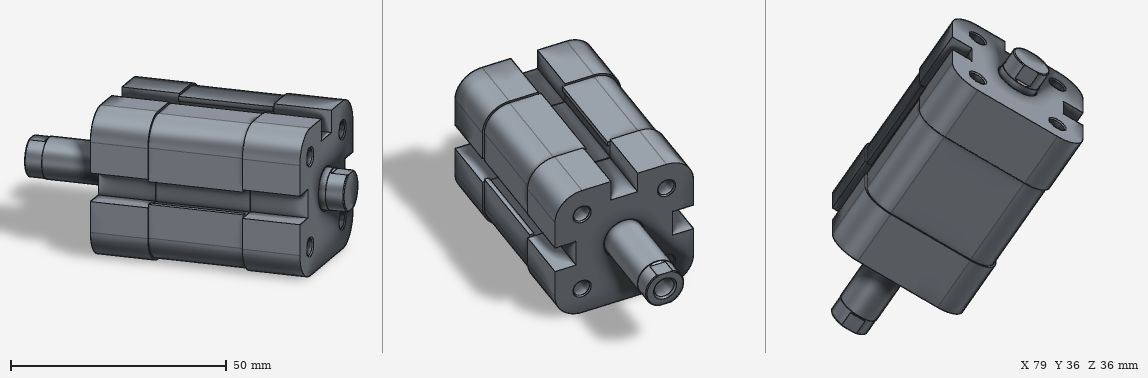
import cadquery as cq
import math


rod_length = 79.0
rear_face_x = -18.4
cap_length = 14.2
barrel_length = 23.4
barrel_start_x = rear_face_x + cap_length
barrel_end_x = barrel_start_x + barrel_length

cap_side = 36.0
cap_corner_radius = 7.0
barrel_inset = 0.51
barrel_side = cap_side - 2 * barrel_inset
barrel_corner_radius = cap_corner_radius - barrel_inset

slot_width = 6.95
cap_slot_floor = 12.6
barrel_slot_floor = 12.8
lip_width = 0.7
lip_height = 1.2
slot_angles = (0, 90, -90)

screw_offset = 11.0
screw_spacing = 2 * screw_offset
screw_hole_diameter = 4.1
screw_hole_chamfer = 0.3

rod_diameter = 10.1
rod_mouth_chamfer = 0.3
neck_diameter = 9.9
rear_neck_length = 4.35
front_neck_length = 4.5
neck_end_chamfer = 0.2
flats_width = 9.0
runout_length = 0.5
runout_rise = 0.355

tap_diameter = 5.05
tap_depth = 11.85
tap_chamfer = 0.5
tap_tip_angle = 118.0


def rounded_bar(side, corner_radius, start_x, length):
    """Square bar along X with rounded long edges."""
    return (
        cq.Workplane("YZ", origin=(start_x, 0, 0))
        .rect(side, side)
        .extrude(length)
        .edges("|X")
        .fillet(corner_radius)
    )


def slot_cutter(width, low, high, start_x, length):
    """Box along X that spans the heights low to high above the axis, on the +Z side."""
    return (
        cq.Workplane("YZ", origin=(start_x, 0, (low + high) / 2))
        .rect(width, high - low)
        .extrude(length)
    )


def cut_on_slot_sides(body, cutter):
    """Cut one slot into each of the three slotted sides."""
    for angle in slot_angles:
        body = body.cut(cutter.rotate((0, 0, 0), (1, 0, 0), angle))
    return body


def cut_bores(body, start_x, length):
    """Cut the rod bore and the four screw holes straight through."""
    section = cq.Workplane("YZ", origin=(start_x, 0, 0))
    rod_bore = section.circle(rod_diameter / 2).extrude(length)
    screw_holes = (
        section.rect(screw_spacing, screw_spacing, forConstruction=True)
        .vertices()
        .circle(screw_hole_diameter / 2)
        .extrude(length)
    )
    return body.cut(rod_bore).cut(screw_holes)


def countersink(x, y, z, hole_diameter, chamfer):
    """45 degree cone that opens a hole along X towards a face on its -X side."""
    return cq.Workplane(
        cq.Solid.makeCone(
            hole_diameter / 2 + chamfer,
            hole_diameter / 2,
            chamfer,
            cq.Vector(x, y, z),
            cq.Vector(1, 0, 0),
        )
    )


def make_rear_cap():
    """Cap with its outer face on the -X side."""
    cap = rounded_bar(cap_side, cap_corner_radius, rear_face_x, cap_length)
    slot = slot_cutter(slot_width, cap_slot_floor, cap_side / 2, rear_face_x, cap_length)
    cap = cut_on_slot_sides(cap, slot)
    cap = cut_bores(cap, rear_face_x, cap_length)
    cap = cap.cut(countersink(rear_face_x, 0, 0, rod_diameter, rod_mouth_chamfer))
    for y in (-screw_offset, screw_offset):
        for z in (-screw_offset, screw_offset):
            cap = cap.cut(countersink(rear_face_x, y, z, screw_hole_diameter, screw_hole_chamfer))
    return cap


def make_end_caps():
    """The rear cap and its mirror image on the +X end of the barrel."""
    middle_x = (barrel_start_x + barrel_end_x) / 2
    rear_cap = make_rear_cap()
    front_cap = rear_cap.mirror("YZ", (middle_x, 0, 0))
    return [rear_cap, front_cap]


def make_barrel():
    """Profiled tube between the caps, with lipped slots."""
    barrel = rounded_bar(barrel_side, barrel_corner_radius, barrel_start_x, barrel_length)
    lip_bottom = barrel_side / 2 - lip_height
    channel = slot_cutter(slot_width, barrel_slot_floor, lip_bottom, barrel_start_x, barrel_length)
    mouth_width = slot_width - 2 * lip_width
    mouth = slot_cutter(mouth_width, barrel_slot_floor, barrel_side / 2, barrel_start_x, barrel_length)
    barrel = cut_on_slot_sides(barrel, channel)
    barrel = cut_on_slot_sides(barrel, mouth)
    return cut_bores(barrel, barrel_start_x, barrel_length)


def flat_cutter(tip_x, neck_length, inward):
    """Removes the +Z segment of a neck; inward (+1 or -1) points from the tip to the shoulder."""
    shoulder_x = tip_x + inward * neck_length
    runout_start_x = shoulder_x - inward * runout_length
    flat_z = flats_width / 2
    top_z = rod_diameter / 2
    return (
        cq.Workplane("XZ")
        .moveTo(tip_x, flat_z)
        .lineTo(runout_start_x, flat_z)
        .lineTo(shoulder_x, flat_z + runout_rise)
        .lineTo(shoulder_x, top_z)
        .lineTo(tip_x, top_z)
        .close()
        .extrude(rod_diameter / 2, both=True)
    )


def tapped_hole(tip_x):
    """Blind hole into the -X end with a chamfered mouth and a drilled cone at the bottom."""
    radius = tap_diameter / 2
    cone_depth = radius / math.tan(math.radians(tap_tip_angle / 2))
    return (
        cq.Workplane("XY")
        .moveTo(tip_x, 0)
        .lineTo(tip_x, radius + tap_chamfer)
        .lineTo(tip_x + tap_chamfer, radius)
        .lineTo(tip_x + tap_depth, radius)
        .lineTo(tip_x + tap_depth + cone_depth, 0)
        .close()
        .revolve(360, (0, 0, 0), (1, 0, 0))
    )


def make_rod():
    """Rod that passes through the cylinder, with a necked and flatted end on each side."""
    rear_tip_x = -rod_length / 2
    front_tip_x = rod_length / 2
    rod = (
        cq.Workplane("YZ", origin=(rear_tip_x, 0, 0))
        .circle(neck_diameter / 2)
        .extrude(rod_length)
        .faces("<X or >X")
        .chamfer(neck_end_chamfer)
    )
    shank_length = rod_length - rear_neck_length - front_neck_length
    shank = (
        cq.Workplane("YZ", origin=(rear_tip_x + rear_neck_length, 0, 0))
        .circle(rod_diameter / 2)
        .extrude(shank_length)
    )
    rod = rod.union(shank)
    rear_flat = flat_cutter(rear_tip_x, rear_neck_length, 1)
    front_flat = flat_cutter(front_tip_x, front_neck_length, -1)
    for flat in (rear_flat, front_flat):
        rod = rod.cut(flat)
        rod = rod.cut(flat.mirror("XY"))
    return rod.cut(tapped_hole(rear_tip_x))


end_caps = make_end_caps()
barrel = make_barrel()
rod = make_rod()

result = cq.Compound.makeCompound([*[cap.val() for cap in end_caps], barrel.val(), rod.val()])